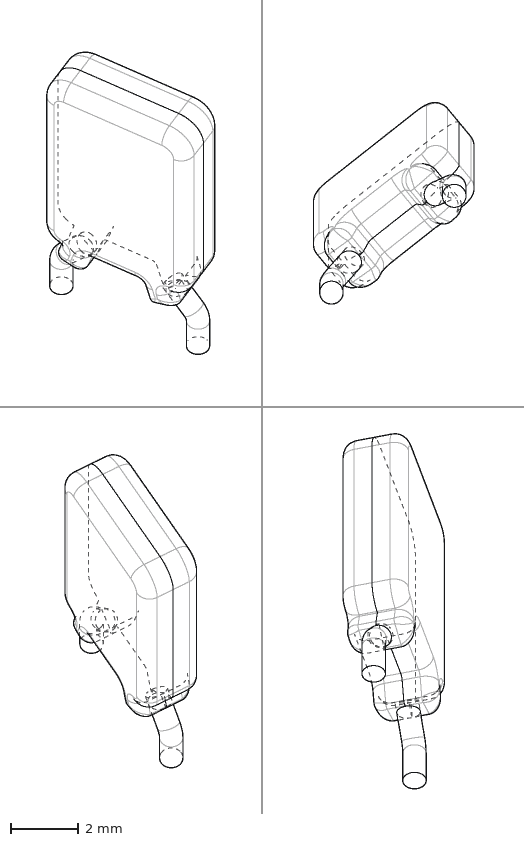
import cadquery as cq
import math

total_height = 10.15
lead_diameter = 0.7
lead_pitch = 4.69

plate_width = 4.99
plate_depth = 2.0
plate_bottom = 2.96
plate_offset = 0.036
top_left_radius = 0.77
top_right_radius = 0.85
bottom_left_radius = 0.72
bottom_right_radius = 0.65
face_edge_radius = 0.45

foot_tilt = 16.0
foot_width = 0.98
foot_end_x = 1.62
foot_end_z = 2.19
foot_reach = 1.42
foot_corner_radius = 0.12
inner_root_radius = 0.17
outer_root_radius = 0.03
root_margin = 0.1

lead_tilt = 40.0
bend_z = 1.39
bend_radius = 0.67
lead_top_z = 2.44

plate_height = total_height - plate_bottom
plate_left = plate_offset - plate_width / 2
plate_right = plate_offset + plate_width / 2
plate_middle_z = plate_bottom + plate_height / 2


def make_plate():
    """Upright plate whose four corners each have their own radius."""
    plate = (
        cq.Workplane("XZ")
        .center(plate_offset, plate_middle_z)
        .rect(plate_width, plate_height)
        .extrude(plate_depth / 2, both=True)
    )
    corners = [
        (plate_left, total_height, top_left_radius),
        (plate_right, total_height, top_right_radius),
        (plate_left, plate_bottom, bottom_left_radius),
        (plate_right, plate_bottom, bottom_right_radius),
    ]
    for x, z, radius in corners:
        corner_edge = cq.selectors.NearestToPointSelector((x, 0, z))
        plate = plate.edges(corner_edge).fillet(radius)
    return plate


def make_foot(side):
    """Tilted block under the plate, on the left (side -1) or on the right (side +1)."""
    return (
        cq.Workplane("XY")
        .box(foot_width, plate_depth, foot_reach, centered=(True, True, False))
        .edges("|Y and <Z")
        .fillet(foot_corner_radius)
        .rotate((0, 0, 0), (0, 1, 0), -side * foot_tilt)
        .translate((side * foot_end_x, 0, foot_end_z))
    )


def fillet_roots(coating, x_low, x_high, radius):
    """Round the concave edges between x_low and x_high where the feet leave the plate."""
    around_roots = cq.selectors.BoxSelector(
        (x_low, -plate_depth, plate_bottom - root_margin),
        (x_high, plate_depth, plate_bottom + root_margin),
    )
    return coating.edges("|Y").edges(around_roots).fillet(radius)


def make_coating():
    """Plate and feet in one piece, with the front and back outlines rounded over."""
    coating = make_plate()
    for side in (-1, 1):
        coating = coating.union(make_foot(side))
    coating = fillet_roots(coating, -foot_end_x, foot_end_x, inner_root_radius)
    coating = fillet_roots(coating, plate_left, -foot_end_x, outer_root_radius)
    coating = fillet_roots(coating, foot_end_x, plate_right, outer_root_radius)
    return coating.faces("<Y or >Y").edges().fillet(face_edge_radius)


def make_lead(side):
    """Round wire that stands upright, bends towards the middle and ends inside its foot."""
    tilt = math.radians(lead_tilt)
    tangent_length = bend_radius * math.tan(tilt / 2)
    arc_start_z = bend_z - tangent_length
    arc_end_x = tangent_length * math.sin(tilt)
    arc_end_z = bend_z + tangent_length * math.cos(tilt)
    arc_middle_x = bend_radius * (1 - math.cos(tilt / 2))
    arc_middle_z = arc_start_z + bend_radius * math.sin(tilt / 2)
    end_x = (lead_top_z - bend_z) * math.tan(tilt)
    path = (
        cq.Workplane("XZ")
        .lineTo(0, arc_start_z)
        .threePointArc((-side * arc_middle_x, arc_middle_z), (-side * arc_end_x, arc_end_z))
        .lineTo(-side * end_x, lead_top_z)
    )
    wire = cq.Workplane("XY").circle(lead_diameter / 2).sweep(path)
    return wire.translate((side * lead_pitch / 2, 0, 0))


def make_housing_half(coating, side):
    """Half of the coating on the front (side -1) or back (side +1) of the seam at Y = 0."""
    half_block = cq.Workplane("XY").box(
        2 * plate_width, plate_depth, total_height, centered=(True, True, False)
    )
    return coating.intersect(half_block.translate((0, side * plate_depth / 2, 0)))


leads = [make_lead(side) for side in (-1, 1)]

coating = make_coating()
for lead in leads:
    coating = coating.cut(lead)
housing_halves = [make_housing_half(coating, side) for side in (-1, 1)]

result = cq.Compound.makeCompound([body.val() for body in housing_halves + leads])